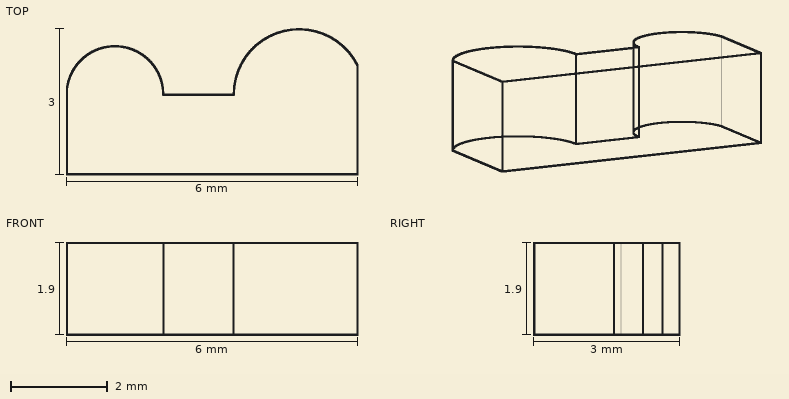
import cadquery as cq

length = 6.0
thickness = 1.9
bar_depth = 1.65

small_radius = 1.0
small_center_x = 0.99
large_radius = 1.35
lobe_spacing = 3.8
large_center_x = small_center_x + lobe_spacing


def make_bar():
    """Rectangular bar with its lower front left corner at the origin."""
    return cq.Workplane("XY").box(length, bar_depth, thickness, centered=False)


def make_lobe(center_x, radius):
    """Round lobe centred on the back edge of the bar, trimmed to the outline of the part."""
    lobe = cq.Workplane("XY").center(center_x, bar_depth).circle(radius).extrude(thickness)
    envelope = cq.Workplane("XY").box(length, bar_depth + radius, thickness, centered=False)
    return lobe.intersect(envelope)


small_lobe = make_lobe(small_center_x, small_radius)
large_lobe = make_lobe(large_center_x, large_radius)
result = make_bar().union(small_lobe).union(large_lobe).clean()